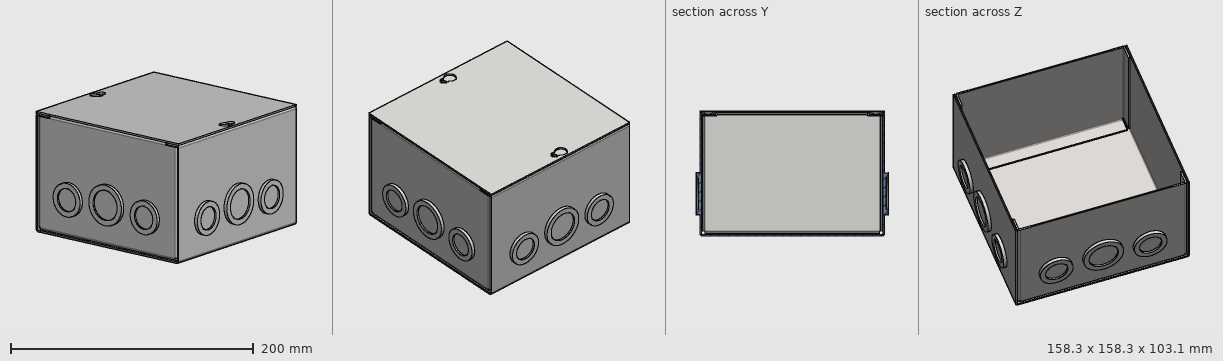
import cadquery as cq

overall_width = 158.3
overall_height = 103.1
box_width = 152.3
sheet = 1.5
bend_radius = 2.2
lip_width = 12.8
lip_gap = 1.3
panel_flange = 12.8
panel_gap = 0.4

boss_rim = 4.6
boss_recess = 1.6
end_boss_bottom = 19.5
side_boss_bottom = 17.5
large_boss_radius = 17.4
small_boss_radius = 14.4
small_boss_offset = 41.2

keyhole_x = 69.0
keyhole_small_radius = 3.2
keyhole_large_radius = 5.2
keyhole_drop = 6.8
screw_hole_radius = 2.2

box_height = overall_height - sheet
boss_height = (overall_width - box_width) / 2
half_width = box_width / 2
inner_half_width = half_width - sheet
inner_bend_radius = bend_radius - sheet


def block(x0, x1, y0, y1, z0, z1):
    """Box between two opposite corners."""
    return cq.Workplane("XY").box(x1 - x0, y1 - y0, z1 - z0, centered=False).translate((x0, y0, z0))


def boss_row(bottom, radius_inset, depth_start, depth_end):
    """Three cylinders on the boss axes at -Y, between two distances out from the wall face."""
    base = cq.Workplane("XZ", origin=(0, -half_width - depth_start, 0))
    row = cq.Workplane("XZ")
    for x, radius in (
        (-small_boss_offset, small_boss_radius),
        (0, large_boss_radius),
        (small_boss_offset, small_boss_radius),
    ):
        disc = base.center(x, bottom + radius).circle(radius - radius_inset).extrude(depth_end - depth_start)
        row.add(disc)
    return row


def wall_bosses(bottom):
    """Recessed knockout bosses of the wall at -Y."""
    bosses = boss_row(bottom, 0, 0, boss_height)
    return bosses.cut(boss_row(bottom, boss_rim, boss_height - boss_recess, boss_height))


def make_wrapper():
    """Floor, both X walls and their lips, folded from one sheet."""
    outer = block(-half_width, half_width, -half_width, half_width, 0, box_height)
    outer = outer.edges("|Y").fillet(bend_radius)
    inner = block(-inner_half_width, inner_half_width, -half_width, half_width, sheet, box_height - sheet)
    inner = inner.edges("|Y").fillet(inner_bend_radius)
    opening = half_width - lip_width
    mouth = block(-opening, opening, -half_width, half_width, box_height / 2, box_height)
    wrapper = outer.cut(inner).cut(mouth)
    for angle in (90, -90):
        wrapper = wrapper.union(wall_bosses(side_boss_bottom).rotate((0, 0, 0), (0, 0, 1), angle))
    screw_holes = cq.Workplane("XY", origin=(0, 0, box_height / 2))
    screw_holes = screw_holes.pushPoints([(-keyhole_x, 0), (keyhole_x, 0)])
    return wrapper.cut(screw_holes.circle(screw_hole_radius).extrude(box_height))


def make_end_panel():
    """End wall at -Y with four folded flanges, split at the corners by square reliefs."""
    flange_end = panel_flange - half_width
    panel_half = inner_half_width - panel_gap
    panel_bottom = sheet + panel_gap
    flat_half = panel_half - bend_radius
    flat_bottom = panel_bottom + bend_radius
    flat_top = box_height - bend_radius
    lip_half = half_width - lip_width - lip_gap

    sides = block(-panel_half, panel_half, -half_width, flange_end, flat_bottom, flat_top)
    sides = sides.edges("|Z and <Y").fillet(bend_radius)
    hollow_half = panel_half - sheet
    hollow = block(-hollow_half, hollow_half, sheet - half_width, flange_end, flat_bottom, flat_top)
    sides = sides.cut(hollow.edges("|Z and <Y").fillet(inner_bend_radius))

    folds = block(-flat_half, flat_half, -half_width, flange_end, panel_bottom, box_height)
    folds = folds.edges("|X and <Y").fillet(bend_radius)
    gap = block(-flat_half, flat_half, sheet - half_width, flange_end, panel_bottom + sheet, box_height - sheet)
    folds = folds.cut(gap.edges("|X and <Y").fillet(inner_bend_radius))
    for x0, x1 in ((-flat_half, -lip_half), (lip_half, flat_half)):
        folds = folds.cut(block(x0, x1, -half_width, flange_end, flat_top, box_height))

    return sides.union(folds).union(wall_bosses(end_boss_bottom))


def make_cover():
    """Flat cover with two keyholes for its screws."""
    cover = block(-half_width, half_width, -half_width, half_width, box_height, box_height + sheet)
    for x in (-keyhole_x, keyhole_x):
        lobes = cq.Workplane("XY", origin=(x, 0, box_height))
        seat = lobes.circle(keyhole_small_radius).extrude(sheet)
        entry = lobes.center(0, -keyhole_drop).circle(keyhole_large_radius).extrude(sheet)
        neck = block(x - keyhole_small_radius, x + keyhole_small_radius, -keyhole_drop, 0,
                     box_height, box_height + sheet)
        cover = cover.cut(entry).cut(seat).cut(neck)
    return cover


wrapper = make_wrapper()
cover = make_cover()
end_panels = [make_end_panel().rotate((0, 0, 0), (0, 0, 1), angle) for angle in (0, 180)]

result = cq.Compound.makeCompound([
    wrapper.val(),
    cover.val(),
    *[panel.val() for panel in end_panels],
])